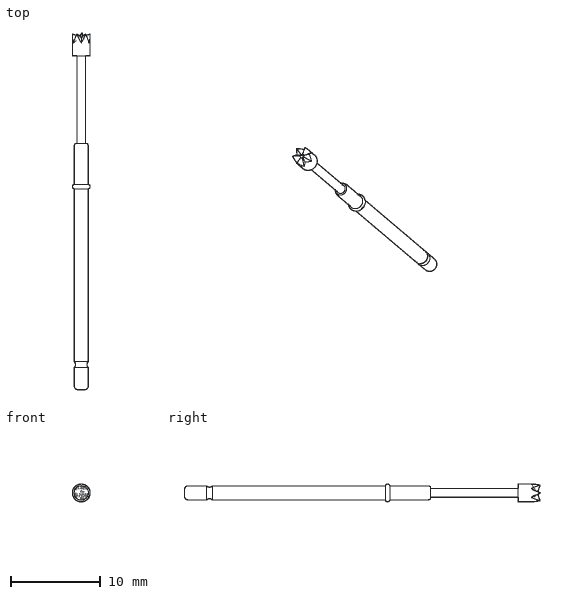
import cadquery as cq
import math

total_length = 40.2

barrel_radius = 0.8
barrel_length = 27.45
tail_fillet = 0.43
mouth_radius = 0.68
mouth_length = 0.35

groove_centre = 2.8
groove_width = 0.65
groove_depth = 0.15

collar_centre = 22.65
collar_width = 0.5
collar_radius = 1.0

shaft_radius = 0.5
head_radius = 1.0
head_back = 37.2

tooth_count = 6
tooth_tip = 39.65
notch_depth = 0.9
floor_slope = 35
notch_overcut = 3
spike_base_radius = 0.35


def make_barrel():
    """Revolve the barrel: rounded tail, crimp groove, collar and rounded-in mouth."""
    groove_start = groove_centre - groove_width / 2
    groove_end = groove_centre + groove_width / 2
    collar_start = collar_centre - collar_width / 2
    collar_end = collar_centre + collar_width / 2
    fillet_offset = tail_fillet * math.sqrt(0.5)
    fillet_mid = (barrel_radius - tail_fillet + fillet_offset, tail_fillet - fillet_offset)
    mouth_start = barrel_length - mouth_length
    profile = (
        cq.Workplane("XY")
        .moveTo(0, 0)
        .lineTo(barrel_radius - tail_fillet, 0)
        .threePointArc(fillet_mid, (barrel_radius, tail_fillet))
        .lineTo(barrel_radius, groove_start)
        .threePointArc((barrel_radius - groove_depth, groove_centre), (barrel_radius, groove_end))
        .lineTo(barrel_radius, collar_start)
        .threePointArc((collar_radius, collar_centre), (barrel_radius, collar_end))
        .lineTo(barrel_radius, mouth_start)
        .tangentArcPoint((mouth_radius, barrel_length), relative=False)
        .lineTo(0, barrel_length)
        .close()
    )
    return profile.revolve(360, (0, 0, 0), (0, 1, 0))


def make_shaft_and_head():
    """Revolve the plunger shaft and its larger cylindrical head."""
    profile = (
        cq.Workplane("XY")
        .moveTo(0, barrel_length)
        .lineTo(shaft_radius, barrel_length)
        .lineTo(shaft_radius, head_back)
        .lineTo(head_radius, head_back)
        .lineTo(head_radius, tooth_tip)
        .lineTo(0, tooth_tip)
        .close()
    )
    return profile.revolve(360, (0, 0, 0), (0, 1, 0))


def make_notch(angle):
    """V groove at one side of the head, its floor rising inward; neighbours meet at tooth tips."""
    half_tooth_angle = math.pi / tooth_count
    half_width = head_radius * math.sin(half_tooth_angle)
    rim_distance = head_radius * math.cos(half_tooth_angle)
    rim_floor = tooth_tip - notch_depth
    height = notch_depth * math.cos(math.radians(floor_slope))
    notch = (
        cq.Workplane("XY")
        .moveTo(0, 0)
        .lineTo(notch_overcut * half_width, notch_overcut * height)
        .lineTo(-notch_overcut * half_width, notch_overcut * height)
        .close()
        .extrude(notch_overcut * head_radius, both=True)
        .rotate((0, 0, 0), (1, 0, 0), floor_slope)
        .translate((0, rim_floor, rim_distance))
    )
    return notch.rotate((0, 0, 0), (0, 1, 0), angle)


def make_spike():
    """Pointed cone rising from the floor of the crown."""
    floor = tooth_tip - notch_depth
    profile = (
        cq.Workplane("XY")
        .moveTo(0, head_back)
        .lineTo(spike_base_radius, head_back)
        .lineTo(spike_base_radius, floor)
        .lineTo(0, total_length)
        .close()
    )
    return profile.revolve(360, (0, 0, 0), (0, 1, 0))


plunger = make_shaft_and_head()
for index in range(tooth_count):
    plunger = plunger.cut(make_notch(index * 360 / tooth_count))
plunger = plunger.union(make_spike())

probe = make_barrel().union(plunger)
result = probe.translate((0, -total_length / 2, 0))